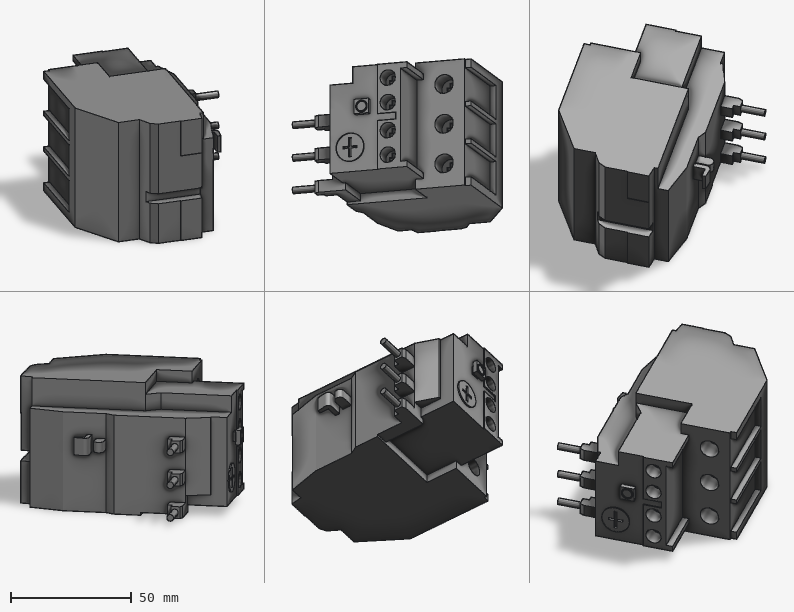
import cadquery as cq

LENGTH = 92.0
WIDTH = 77.0
HEIGHT = 54.0

BLOCK_X = 24.0
BLOCK_STEP_X = 38.9
BLOCK_STEP_Y = 24.0
BLOCK_BACK_Y = 48.6
LIP = 2.6
LIP_X = 25.1
REAR_X = 84.8
SHOULDER_X = 86.8
BEVEL_START_X = 64.95
BEVEL_END_Y = 12.05
NOSE_START_Y = 21.2
NOSE_CORNER = (90.0, 24.1)
NOSE_FLAT_Y = (27.7, 46.1)
SHOULDER_Y = 47.0

REAR_TOP_Z = 42.0
REAR_Y = 59.0
REAR_LOW_Y = 56.9
REAR_TAPER_Y = 53.0
REAR_BOTTOM_Z = 9.2
REAR_FRONT = (10.0, 55.4)
REAR_RIDGE_END_X = 50.05
REAR_TAPER_X = 71.85

RELAY_X = 3.4
RELAY_FRONT_Y = 20.5
RELAY_SLANT_X = 33.1
RELAY_SLANT_Y = 44.4
RELAY_BACK_Y = 54.4
RELAY_BOTTOM_Z = 4.2
RELAY_TOP_Z = 49.0
FLANGE = 2.5
FLANGE_DEPTH = 2.85

RAISE = 0.55
FACE_X = RELAY_X - RAISE
STRIP_BACK_Y = 33.4
NOTCH_Y = 25.5
NOTCH_Z = (25.0, 28.0)

SMALL_WELL = {"diameter": 6.6, "depth": 7.4, "y": 28.9, "heights": (10.0, 20.5, 32.5, 43.0)}
LARGE_WELL = {"diameter": 8.0, "depth": 9.2, "y": 11.5, "heights": (10.0, 27.0, 44.0)}
SCREW_CROSS = (3.7, 5.1)
DIAL_CROSS = (6.2, 8.1)
CROSS_ARM = 1.2
DIAL_ARM = 0.8
CROSS_DEPTH = 1.2
DIAL_DIAMETER = 12.05
DIAL_Y = 45.45
DIAL_Z = 14.6

KNOB_SIDE = 6.2
KNOB_THICKNESS = 2.0
KNOB_Y = 39.5
KNOB_Z = 31.0
STEM_SIDE = 3.9
RING_OUTER = 5.0
RING_INNER = 4.1
RING_DEPTH = 0.4

BAY_END_X = 56.95
BAY_RANGES_Z = ((3.6, 17.9), (19.9, 34.0), (36.0, 50.4))

PIN_DIAMETER = 2.85
PIN_X = 22.9
PIN_HEIGHTS = (3.7, 17.6, 31.6)
HOLDER_HEIGHT = 5.1
HOLDER_X = 20.0
HOLDER_END_Y = 66.9
HOLDER_CHAMFER = (0.8, 1.9)
HOLDER_STEP = (24.6, 64.0)
HOLDER_REAR_X = 26.6
LUG_Y = 53.1

HOOK_Z = 29.2
HOOK_HEIGHT = 7.4
HOOK_TAB_HEIGHT = 4.4
HOOK_END_Y = 64.0
HOOK_X = 59.9
HOOK_THICKNESS = 2.0
HOOK_TIP_X = 66.1
HOOK_TIP_Y = (61.9, 63.4)
TAB_X = 53.8
TAB_WIDTH = 4.2

END_SLOT_Z = (17.9, 22.45)
END_SLOT_X = 87.95
END_RELIEF = 0.3
END_RELIEF_Y = 36.9
END_RELIEF_TOP_Z = 38.3


def box(x_range, y_range, z_range):
    size = [high - low for low, high in (x_range, y_range, z_range)]
    return cq.Workplane("XY").box(*size, centered=False).translate((x_range[0], y_range[0], z_range[0]))


def prism(points, z_low, z_high):
    return cq.Workplane("XY").workplane(offset=z_low).polyline(points).close().extrude(z_high - z_low)


def x_cylinder(diameter, x_range, y, z):
    plane = cq.Workplane("YZ", origin=(x_range[0], y, z))
    return plane.circle(diameter / 2).extrude(x_range[1] - x_range[0])


def cross(x, y, z, size, flat_arm):
    """Cross recess tool sunk from the plane at x; size is its width along Y and height along Z."""
    width, height = size
    plane = cq.Workplane("YZ", origin=(x, y, z))
    upright = plane.rect(CROSS_ARM, height).extrude(CROSS_DEPTH)
    return upright.union(plane.rect(width, flat_arm).extrude(CROSS_DEPTH))


def main_block():
    outline = [
        (LIP_X, 0), (BEVEL_START_X, 0), (REAR_X, BEVEL_END_Y), (REAR_X, NOSE_START_Y), NOSE_CORNER,
        (LENGTH, NOSE_FLAT_Y[0]), (LENGTH, NOSE_FLAT_Y[1]), (SHOULDER_X, SHOULDER_Y),
        (SHOULDER_X, BLOCK_BACK_Y), (BLOCK_STEP_X, BLOCK_BACK_Y),
        (BLOCK_STEP_X, BLOCK_STEP_Y), (BLOCK_X, BLOCK_STEP_Y), (BLOCK_X, LIP), (LIP_X, LIP),
    ]
    block = prism(outline, 0, HEIGHT)
    for z_range in BAY_RANGES_Z:
        block = block.cut(box((BLOCK_X, BAY_END_X), (0, LIP), z_range))
    block = block.cut(box((END_SLOT_X, LENGTH), (0, BLOCK_BACK_Y), END_SLOT_Z))
    relief_x = (LENGTH - END_RELIEF, LENGTH)
    block = block.cut(box(relief_x, (0, END_RELIEF_Y), (0, HEIGHT)))
    return block.cut(box(relief_x, (0, BLOCK_BACK_Y), (END_SLOT_Z[0], END_RELIEF_TOP_Z)))


def rear_body():
    back_edge = [
        (REAR_RIDGE_END_X, REAR_Y), (TAB_X, REAR_LOW_Y), (REAR_TAPER_X, REAR_LOW_Y),
        (SHOULDER_X, REAR_TAPER_Y), (SHOULDER_X, BLOCK_BACK_Y),
    ]
    lower = [(BLOCK_STEP_X, BLOCK_BACK_Y), (BLOCK_STEP_X, REAR_Y)] + back_edge
    upper = [(REAR_FRONT[0], BLOCK_BACK_Y), REAR_FRONT, (HOLDER_X, REAR_Y)] + back_edge
    body = prism(lower, 0, REAR_BOTTOM_Z)
    return body.union(prism(upper, REAR_BOTTOM_Z, REAR_TOP_Z))


def relay_block():
    full = [
        (RELAY_X, RELAY_FRONT_Y), (BLOCK_STEP_X, RELAY_FRONT_Y), (BLOCK_STEP_X, BLOCK_BACK_Y),
        (RELAY_SLANT_X, RELAY_SLANT_Y), (RELAY_X, RELAY_SLANT_Y),
    ]
    block = prism(full, RELAY_BOTTOM_Z, RELAY_TOP_Z)
    block = block.union(
        box((RELAY_X, BLOCK_STEP_X), (RELAY_SLANT_Y, RELAY_BACK_Y), (RELAY_BOTTOM_Z, REAR_TOP_Z))
    )
    strip_x = (FACE_X, RELAY_X)
    strip = box(strip_x, (RELAY_FRONT_Y, STRIP_BACK_Y), (RELAY_BOTTOM_Z, RELAY_TOP_Z))
    strip = strip.cut(box(strip_x, (NOTCH_Y, STRIP_BACK_Y), NOTCH_Z))
    block = block.union(strip)
    groove_z = (RELAY_BOTTOM_Z + FLANGE, RELAY_TOP_Z - FLANGE)
    groove_y = (RELAY_FRONT_Y, RELAY_FRONT_Y + FLANGE_DEPTH)
    return block.cut(box((FACE_X, BLOCK_X), groove_y, groove_z))


def dial():
    """Raised disc and the cross recess to cut through it."""
    disc = x_cylinder(DIAL_DIAMETER, (FACE_X, RELAY_X), DIAL_Y, DIAL_Z)
    return disc, cross(FACE_X, DIAL_Y, DIAL_Z, DIAL_CROSS, DIAL_ARM)


def screw_wells(well, face_x):
    """Round wells in one terminal row, each with a cross recess in its floor."""
    floor_x = face_x + well["depth"]
    tools = cq.Workplane("XY")
    for z in well["heights"]:
        tools = tools.add(x_cylinder(well["diameter"], (face_x, floor_x), well["y"], z))
        tools = tools.add(cross(floor_x, well["y"], z, SCREW_CROSS, CROSS_ARM))
    return tools.combine()


def knob_bar(side, x_range):
    """Square bar along X on the knob axis."""
    half = side / 2
    return box(x_range, (KNOB_Y - half, KNOB_Y + half), (KNOB_Z - half, KNOB_Z + half))


def knob():
    head = knob_bar(KNOB_SIDE, (0, KNOB_THICKNESS))
    ring = cq.Workplane("YZ", origin=(0, KNOB_Y, KNOB_Z)).circle(RING_OUTER / 2).circle(RING_INNER / 2)
    head = head.cut(ring.extrude(RING_DEPTH))
    return head.union(knob_bar(STEM_SIDE, (KNOB_THICKNESS, RELAY_X)))


def contact_pin(z):
    outline = [
        (HOLDER_X, REAR_Y), (HOLDER_X, HOLDER_END_Y - HOLDER_CHAMFER[1]),
        (HOLDER_X + HOLDER_CHAMFER[0], HOLDER_END_Y), (HOLDER_STEP[0], HOLDER_END_Y),
        HOLDER_STEP, (HOLDER_REAR_X, HOLDER_STEP[1]), (HOLDER_REAR_X, REAR_Y),
    ]
    holder = prism(outline, z - HOLDER_HEIGHT / 2, z + HOLDER_HEIGHT / 2)
    plane = cq.Workplane("XZ", origin=(PIN_X, HOLDER_END_Y, z))
    return holder.union(plane.circle(PIN_DIAMETER / 2).extrude(HOLDER_END_Y - WIDTH))


def pin_lug():
    """Foot joining the lowest pin holder to the housing."""
    low_z = PIN_HEIGHTS[0] - HOLDER_HEIGHT / 2
    return box((HOLDER_X, BLOCK_STEP_X), (LUG_Y, REAR_Y), (low_z, REAR_BOTTOM_Z))


def mounting_tab():
    radius = TAB_WIDTH / 2
    end_x = TAB_X + TAB_WIDTH
    side_y = HOOK_END_Y - radius
    plane = cq.Workplane("XY", origin=(0, 0, HOOK_Z - HOOK_TAB_HEIGHT / 2))
    outline = (
        plane.moveTo(TAB_X, REAR_LOW_Y)
        .lineTo(TAB_X, side_y)
        .threePointArc((TAB_X + radius, HOOK_END_Y), (end_x, side_y))
        .lineTo(end_x, REAR_LOW_Y)
        .close()
    )
    return outline.extrude(HOOK_TAB_HEIGHT)


def mounting_hook():
    inner_x = HOOK_X + HOOK_THICKNESS
    inner_y, tip_y = HOOK_TIP_Y
    plane = cq.Workplane("XY", origin=(0, 0, HOOK_Z - HOOK_HEIGHT / 2))
    outline = (
        plane.moveTo(HOOK_X, REAR_LOW_Y)
        .lineTo(HOOK_X, HOOK_END_Y - HOOK_THICKNESS)
        .radiusArc((inner_x, HOOK_END_Y), HOOK_THICKNESS)
        .lineTo(HOOK_TIP_X, tip_y)
        .lineTo(HOOK_TIP_X, inner_y)
        .lineTo(inner_x, inner_y)
        .lineTo(inner_x, REAR_LOW_Y)
        .close()
    )
    return outline.extrude(HOOK_HEIGHT)


dial_disc, dial_recess = dial()
result = main_block().union(rear_body()).union(relay_block()).union(pin_lug())
result = result.union(dial_disc).union(knob())
for pin_z in PIN_HEIGHTS:
    result = result.union(contact_pin(pin_z))
result = result.union(mounting_tab()).union(mounting_hook())
result = result.cut(screw_wells(SMALL_WELL, FACE_X))
result = result.cut(screw_wells(LARGE_WELL, BLOCK_X))
result = result.cut(dial_recess)